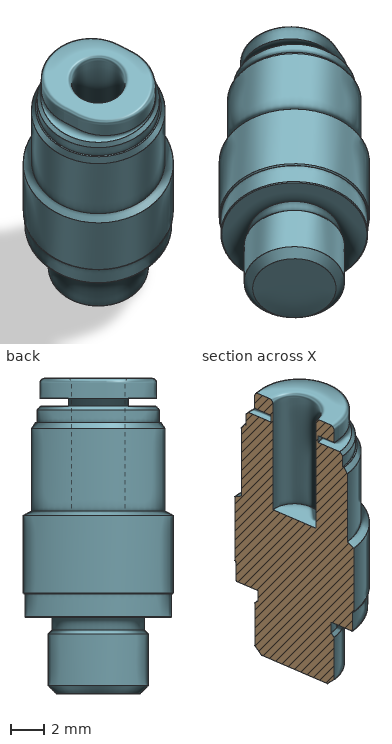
import cadquery as cq

total_height = 18.9

thread_radius = 3.0
tip_chamfer = 0.51
thread_top = 3.82
thread_top_chamfer = 0.23
relief_radius = thread_radius - thread_top_chamfer

ring_radius = 4.4
ring_bottom = 4.57
ring_top = 5.97
ring_chamfer = 0.05

body_radius = 4.5
body_bottom = ring_top
body_edge_chamfer = 0.08
shoulder_bottom = 10.68
shoulder_top = 10.95

sleeve_radius = 4.0
sleeve_top = 16.24
sleeve_chamfer_height = 0.35
sleeve_chamfer_width = 0.25

guide_radius = 3.67
guide_top = 17.24
guide_chamfer = 0.23

stem_radius = 1.8
collar_width_x = 7.0
collar_width_y = 6.01
collar_bottom = 17.69
collar_height = total_height - collar_bottom
button_fillet = 0.3

bore_diameter = 3.2
bore_depth = total_height - shoulder_top


def make_turned_body():
    """Revolve the stepped half profile, given as (radius, height), about Z."""
    profile = [
        (0, 0),
        (thread_radius - tip_chamfer, 0),
        (thread_radius, tip_chamfer),
        (thread_radius, thread_top - thread_top_chamfer),
        (relief_radius, thread_top),
        (relief_radius, ring_bottom),
        (ring_radius - ring_chamfer, ring_bottom),
        (ring_radius, ring_bottom + ring_chamfer),
        (ring_radius, ring_top),
        (body_radius - body_edge_chamfer, body_bottom),
        (body_radius, body_bottom + body_edge_chamfer),
        (body_radius, shoulder_bottom),
        (sleeve_radius, shoulder_top),
        (sleeve_radius, sleeve_top - sleeve_chamfer_height),
        (sleeve_radius - sleeve_chamfer_width, sleeve_top),
        (guide_radius, sleeve_top),
        (guide_radius, guide_top - guide_chamfer),
        (guide_radius - guide_chamfer, guide_top),
        (stem_radius, guide_top),
        (stem_radius, collar_bottom),
        (0, collar_bottom),
    ]
    return cq.Workplane("XZ").polyline(profile).close().revolve(360, (0, 0, 0), (0, 1, 0))


def make_collar():
    """Oblong release collar with a rounded upper rim."""
    return (
        cq.Workplane("XY", origin=(0, 0, collar_bottom))
        .slot2D(collar_width_x, collar_width_y)
        .extrude(collar_height)
        .faces(">Z")
        .edges()
        .fillet(button_fillet)
    )


def cut_bore(solid):
    """Blind tube bore with a rounded mouth."""
    bored = solid.faces(">Z").workplane(origin=(0, 0, total_height)).hole(bore_diameter, bore_depth)
    mouth = cq.selectors.RadiusNthSelector(0)
    return bored.faces(">Z").edges("%CIRCLE").edges(mouth).fillet(button_fillet)


result = cut_bore(make_turned_body().union(make_collar()))